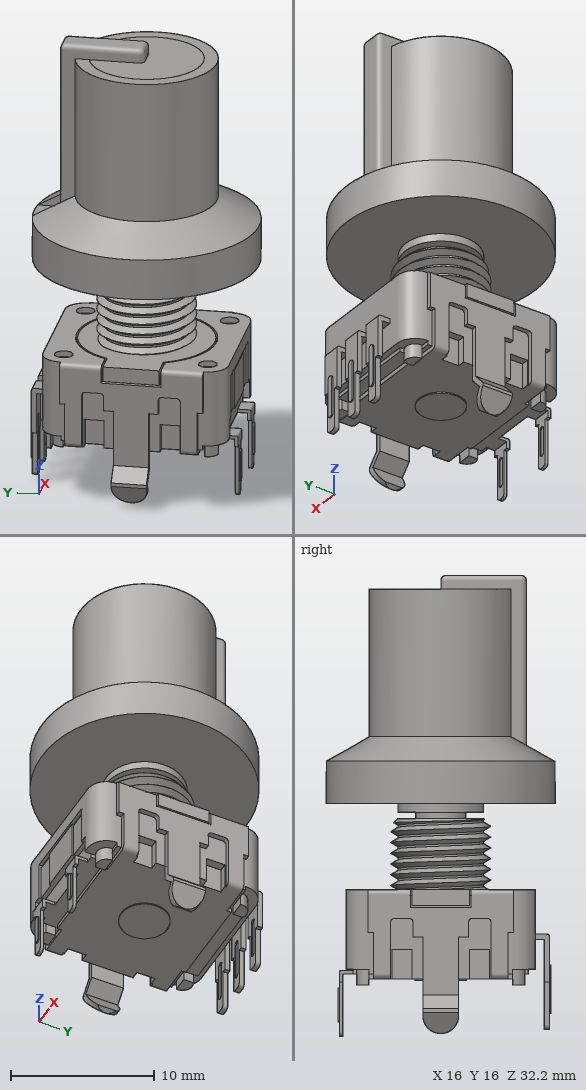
import cadquery as cq


KNOB_BOTTOM = 6.02
SKIRT_TOP = 8.98
CONE_TOP = 10.7
KNOB_TOP = 21.0
SKIRT_DIA = 16.0
GRIP_DIA = 10.0
BORE_DEPTH = 10.0

CAP_DIA = 8.05
CAP_THICK = 1.0
POINTER_WIDTH = 2.05
POINTER_REACH = 6.0
POINTER_RISE = 0.95
POINTER_FILLET = 0.4

SHAFT_DIA = 6.0
SHAFT_SHOULDER = 5.4
NECK_DIA = 3.5
BUSHING_TOP = 4.95
THREAD_DIA = 7.0
THREAD_ROOT_DIA = 6.0
THREAD_TURNS = 6.6
THREAD_PITCH = BUSHING_TOP / THREAD_TURNS
THREAD_PHASE = 0.48
THREAD_BURIED = 0.05
THREAD_FLANK_GAP = 0.03
THREAD_CHAMFER = 0.55
FLANGE_DIA = 9.65

HALF_X = 5.67
HALF_Y = 6.6
CORNER_RADIUS = 1.48
HOUSING_BOTTOM = -5.57
CORNER_X = HALF_X - CORNER_RADIUS
CORNER_Y = HALF_Y - CORNER_RADIUS
CORNER_HOLE_DIA = 1.3
CORNER_HOLE_DEPTH = 0.42
FOOT_DIA = 1.5
FOOT_BOTTOM = -6.65

WINDOW_HALF = 3.25
WINDOW_TOP = -1.1
WINDOW_DEPTH = 0.3
PANEL_TOP = -1.3
PANEL_HALF = 1.75
COLUMN_RISE = 0.13
PANEL_RISE = 0.25

BASE_HALF_X = 3.8
BASE_HALF_Y = 6.12
BASE_TOP = -4.2
BASE_BOTTOM = -5.9
FLOOR_HALF_Y = 5.02
FLOOR_BOTTOM = -6.25
FLOOR_HALF_X = 3.5
FLOOR_DISC_DIA = 3.6
FLOOR_DISC_THICK = 0.1

SHEET = 0.4
BEND_RADIUS = 0.35
BRACKET_HALF_X = HALF_X + SHEET
BRACKET_HALF_Y = 5.1
LEG_HALF_Y = 4.7
LEG_TOP = -3.0
TAB_HALF = 2.0
TAB_BOTTOM = -1.1
TAB_GAP = 0.13
POCKET_INNER = 1.93
POCKET_OUTER = 3.5
POCKET_TOP = -2.0
POCKET_RADIUS = 0.3
POCKET_STEP = -3.3
TONGUE_HALF = 1.25
NICHE_INNER = 2.0
NICHE_OUTER = 3.4
NICHE_DEPTH = 0.6

CLIP_BEND_TOP = -7.35
CLIP_REACH = 6.95
CLIP_KNEE_TOP = -8.3
CLIP_KNEE_BOTTOM = -8.55
CLIP_TIP_X = 6.1
CLIP_TIP_BOTTOM = -10.05
CLIP_TIP_RISE = 0.23
CLIP_INNER_STEP = 0.32
CLIP_KNEE_THICK = 0.42
CLIP_BEND_DROP = 0.2

PIN_PITCH = 2.5
SHOULDER_WIDTH = 1.48
PIN_TIP_RADIUS = 0.3
PIN_SHOULDER_BOTTOM = -6.45
TERMINAL_ROOT = 5.8
RIB_WIDTH = 0.45
RIB_DEPTH = 0.1


def box(x0, x1, y0, y1, z0, z1):
    """Axis-parallel block between two opposite corners."""
    return cq.Workplane("XY").box(x1 - x0, y1 - y0, z1 - z0, centered=False).translate((x0, y0, z0))


def cylinder(dia, z0, z1):
    """Upright cylinder on the shaft axis."""
    return cq.Workplane("XY").workplane(offset=z0).circle(dia / 2).extrude(z1 - z0)


def corner_points():
    return [(sx * CORNER_X, sy * CORNER_Y) for sx in (-1, 1) for sy in (-1, 1)]


def both_x_sides(shape):
    """A shape on the -X side together with its mirror image on the +X side."""
    return shape.union(shape.mirror("YZ"))



def make_cap():
    disc = cylinder(CAP_DIA, KNOB_TOP - CAP_THICK, KNOB_TOP)
    pointer = box(-POINTER_WIDTH / 2, POINTER_WIDTH / 2, 0, POINTER_REACH, SKIRT_TOP, KNOB_TOP + POINTER_RISE)
    pointer = pointer.edges("|Z or >Z").fillet(POINTER_FILLET)
    under_disc = cylinder(CAP_DIA, SKIRT_TOP, KNOB_TOP - CAP_THICK)
    return disc.union(pointer.cut(under_disc))



def make_knob(cap):
    profile = [
        (0, KNOB_BOTTOM),
        (SKIRT_DIA / 2, KNOB_BOTTOM),
        (SKIRT_DIA / 2, SKIRT_TOP),
        (GRIP_DIA / 2, CONE_TOP),
        (GRIP_DIA / 2, KNOB_TOP),
        (0, KNOB_TOP),
    ]
    knob = cq.Workplane("XZ").polyline(profile).close().revolve(360, (0, 0, 0), (0, 1, 0))
    bore = cylinder(SHAFT_DIA, KNOB_BOTTOM, KNOB_BOTTOM + BORE_DEPTH)
    slot = box(
        -POINTER_WIDTH / 2, POINTER_WIDTH / 2, GRIP_DIA / 2, SKIRT_DIA / 2, SKIRT_TOP, CONE_TOP
    )
    return knob.cut(bore).cut(slot).cut(cap)



def make_shaft():
    neck = cylinder(NECK_DIA, 0, SHAFT_SHOULDER)
    return neck.union(cylinder(SHAFT_DIA, SHAFT_SHOULDER, KNOB_BOTTOM + BORE_DEPTH))


def make_bushing():
    """Bushing with a right-hand V thread, trimmed flat at the housing and chamfered on top."""
    root = THREAD_ROOT_DIA / 2
    inner = root - THREAD_BURIED
    half = THREAD_PITCH / 2 - THREAD_FLANK_GAP
    path = cq.Wire.makeHelix(THREAD_PITCH, BUSHING_TOP + 2 * THREAD_PITCH, root)
    ridge = (
        cq.Workplane("XZ")
        .polyline([(inner, -half), (THREAD_DIA / 2, 0), (inner, half)])
        .close()
        .sweep(cq.Workplane(path), isFrenet=True)
        .translate((0, 0, THREAD_PHASE - 2 * THREAD_PITCH))
    )
    envelope = cylinder(THREAD_DIA + 2 * THREAD_BURIED, 0, BUSHING_TOP)
    envelope = envelope.faces(">Z").chamfer(THREAD_CHAMFER)
    core = cylinder(THREAD_ROOT_DIA, 0, BUSHING_TOP)
    return core.union(ridge.intersect(envelope))


def make_housing():
    housing = (
        box(-HALF_X, HALF_X, -HALF_Y, HALF_Y, HOUSING_BOTTOM, 0).edges("|Z").fillet(CORNER_RADIUS)
    )
    holes = (
        cq.Workplane("XY").pushPoints(corner_points()).circle(CORNER_HOLE_DIA / 2).extrude(-CORNER_HOLE_DEPTH)
    )
    feet = (
        cq.Workplane("XY").workplane(offset=FOOT_BOTTOM)
        .pushPoints(corner_points()).circle(FOOT_DIA / 2).extrude(HOUSING_BOTTOM - FOOT_BOTTOM)
        .cut(box(-BASE_HALF_X, BASE_HALF_X, -HALF_Y, HALF_Y, FOOT_BOTTOM, HOUSING_BOTTOM))
        .cut(box(-HALF_X, HALF_X, -FLOOR_HALF_Y, FLOOR_HALF_Y, FOOT_BOTTOM, HOUSING_BOTTOM))
    )
    return housing.cut(holes).union(feet)


def cut_window(housing):
    back = WINDOW_DEPTH - HALF_Y
    window = box(-WINDOW_HALF, WINDOW_HALF, -HALF_Y, back, HOUSING_BOTTOM, WINDOW_TOP)
    notch = box(-BASE_HALF_X, BASE_HALF_X, -HALF_Y, -BASE_HALF_Y, HOUSING_BOTTOM, BASE_TOP)
    columns = box(-WINDOW_HALF, WINDOW_HALF, back - COLUMN_RISE, back, BASE_TOP, PANEL_TOP)
    panel = box(-PANEL_HALF, PANEL_HALF, back - PANEL_RISE, back, BASE_TOP, PANEL_TOP)
    return housing.cut(window).union(columns).union(panel).cut(notch)


def make_base():
    base = box(-BASE_HALF_X, BASE_HALF_X, -BASE_HALF_Y, BASE_HALF_Y, BASE_BOTTOM, BASE_TOP)
    floor = box(-HALF_X, HALF_X, -FLOOR_HALF_Y, FLOOR_HALF_Y, BASE_BOTTOM, HOUSING_BOTTOM)
    sole = box(-FLOOR_HALF_X, FLOOR_HALF_X, -FLOOR_HALF_Y, FLOOR_HALF_Y, FLOOR_BOTTOM, BASE_BOTTOM)
    wings = box(-HALF_X, HALF_X, -POCKET_OUTER, POCKET_OUTER, FLOOR_BOTTOM, BASE_BOTTOM)
    disc = cylinder(FLOOR_DISC_DIA, FLOOR_BOTTOM - FLOOR_DISC_THICK, FLOOR_BOTTOM)
    return base.union(floor).union(sole).union(wings).union(disc)


def make_bracket_side():
    """Side plate at -X: bent over at the top, narrower below, and folded under the floor."""
    upper = box(-BRACKET_HALF_X, -HALF_X, -BRACKET_HALF_Y, BRACKET_HALF_Y, LEG_TOP, 0)
    upper = upper.edges("<X and >Z").fillet(BEND_RADIUS)
    legs = box(-BRACKET_HALF_X, -HALF_X, -LEG_HALF_Y, LEG_HALF_Y, FLOOR_BOTTOM, LEG_TOP)
    fold = box(-HALF_X, -FLOOR_HALF_X, -LEG_HALF_Y, LEG_HALF_Y, FLOOR_BOTTOM, BASE_BOTTOM)
    legs = legs.union(fold).edges("<X and <Z").fillet(BEND_RADIUS)
    return upper.union(legs)


def make_flange():
    """Round flange of the bushing with a square tab bent down over each X side."""
    tabs = box(-BRACKET_HALF_X, BRACKET_HALF_X, -TAB_HALF, TAB_HALF, TAB_BOTTOM, 0)
    return cylinder(FLANGE_DIA, -SHEET, 0).union(tabs)


def make_flange_gap():
    """Opening in the bracket for the flange and its tabs, with a gap all around them."""
    half = TAB_HALF + TAB_GAP
    across = box(-BRACKET_HALF_X, BRACKET_HALF_X, -half, half, -SHEET, 0)
    side = box(-BRACKET_HALF_X, -HALF_X, -half, half, TAB_BOTTOM - TAB_GAP, 0)
    return cylinder(FLANGE_DIA + 2 * TAB_GAP, -SHEET, 0).union(across).union(both_x_sides(side))


def make_pockets():
    """Pair of round-topped pockets beside the tongue, widened under it."""
    x0 = -BRACKET_HALF_X
    upper = box(x0, -HALF_X, POCKET_INNER, POCKET_OUTER, FLOOR_BOTTOM, POCKET_TOP)
    upper = upper.edges("|X and >Z").fillet(POCKET_RADIUS)
    lower = box(x0, -HALF_X, TONGUE_HALF, POCKET_INNER, FLOOR_BOTTOM, POCKET_STEP)
    pocket = upper.union(lower)
    return pocket.union(pocket.mirror("XZ"))


def make_niches():
    """Pair of deeper square niches in the base, open to the pockets and below."""
    niche = box(-HALF_X, NICHE_DEPTH - HALF_X, NICHE_INNER, NICHE_OUTER, FLOOR_BOTTOM, BASE_TOP)
    return niche.union(niche.mirror("XZ"))


def make_clip():
    """Tongue at -X with a zigzag snap-in end and a rounded tip."""
    profile = [
        (-HALF_X, POCKET_STEP),
        (-BRACKET_HALF_X, POCKET_STEP),
        (-BRACKET_HALF_X, CLIP_BEND_TOP),
        (-CLIP_REACH, CLIP_KNEE_TOP),
        (-CLIP_REACH, CLIP_KNEE_BOTTOM),
        (-CLIP_TIP_X, CLIP_TIP_BOTTOM),
        (-CLIP_TIP_X + CLIP_INNER_STEP, CLIP_TIP_BOTTOM + CLIP_TIP_RISE),
        (-CLIP_REACH + CLIP_KNEE_THICK, (CLIP_KNEE_TOP + CLIP_KNEE_BOTTOM) / 2),
        (-HALF_X, CLIP_BEND_TOP - CLIP_BEND_DROP),
    ]
    clip = cq.Workplane("XZ").polyline(profile).close().extrude(TONGUE_HALF, both=True)
    tip = (
        cq.Workplane("YZ")
        .moveTo(-TONGUE_HALF, 0)
        .lineTo(-TONGUE_HALF, CLIP_TIP_BOTTOM + TONGUE_HALF)
        .threePointArc((0, CLIP_TIP_BOTTOM), (TONGUE_HALF, CLIP_TIP_BOTTOM + TONGUE_HALF))
        .lineTo(TONGUE_HALF, 0)
        .close()
        .extrude(-2 * BRACKET_HALF_X)
    )
    return clip.intersect(tip)


def make_terminal(top, outer, thick, pin_width, pin_bottom, rib_top, rib_bottom):
    """Bent terminal toward +Y at X = 0: arm, wide shoulder and a pin with a stamped rib."""
    half = SHOULDER_WIDTH / 2
    inner = outer - thick
    arm = box(-half, half, TERMINAL_ROOT, outer, top - thick, top)
    shoulder = box(-half, half, inner, outer, PIN_SHOULDER_BOTTOM, top)
    bent = arm.union(shoulder).edges(">Y and >Z").fillet(thick / 2)
    pin = box(-pin_width / 2, pin_width / 2, inner, outer, pin_bottom, PIN_SHOULDER_BOTTOM)
    pin = pin.edges("|Y and <Z").fillet(PIN_TIP_RADIUS)
    rib = (
        cq.Workplane("XZ", origin=(0, outer, (rib_top + rib_bottom) / 2))
        .slot2D(rib_top - rib_bottom, RIB_WIDTH, 90)
        .extrude(-RIB_DEPTH)
    )
    groove = rib.translate((0, -thick, 0))
    return bent.union(pin).union(rib).cut(groove)


def make_terminals():
    """Two low terminals on the -Y side and three higher ones on the +Y side."""
    front = make_terminal(
        top=-5.65, outer=7.1, thick=0.25, pin_width=0.8, pin_bottom=-10.25, rib_top=-6.85, rib_bottom=-9.25
    ).mirror("XZ")
    back = make_terminal(
        top=-3.1, outer=7.6, thick=0.4, pin_width=0.9, pin_bottom=-9.75, rib_top=-5.25, rib_bottom=-8.63
    )
    front_places = (-PIN_PITCH, PIN_PITCH)
    back_places = (-PIN_PITCH, 0, PIN_PITCH)
    terminals = [front.translate((x, 0, 0)) for x in front_places]
    terminals += [back.translate((x, 0, 0)) for x in back_places]
    return terminals


def make_encoder():
    encoder = cut_window(make_housing()).union(make_base())
    encoder = encoder.union(both_x_sides(make_bracket_side()))
    encoder = encoder.cut(make_flange_gap()).union(make_flange())
    encoder = encoder.cut(both_x_sides(make_pockets())).cut(both_x_sides(make_niches()))
    encoder = encoder.union(both_x_sides(make_clip()))
    for terminal in make_terminals():
        encoder = encoder.union(terminal)
    return encoder.union(make_bushing()).union(make_shaft())


cap = make_cap()
knob = make_knob(cap)
encoder = make_encoder()

result = cq.Compound.makeCompound([encoder.solids().val(), knob.solids().val(), cap.solids().val()])